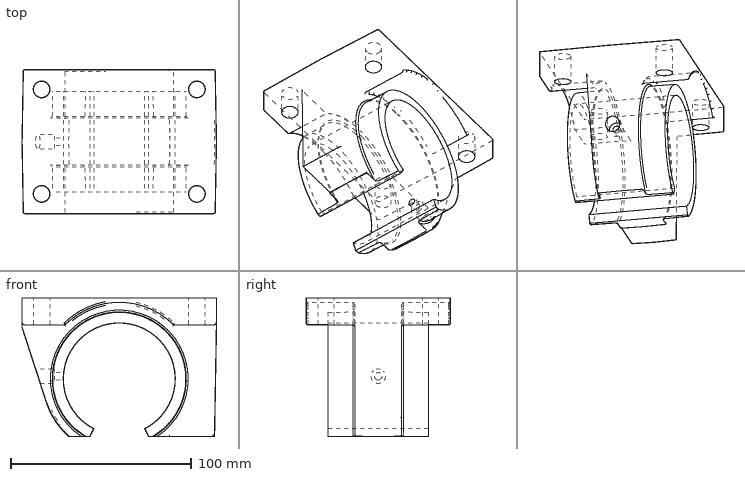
import cadquery as cq
import math

length = 108.0
width = 80.0
height = 77.0
plate_thickness = 15.0
draft_angle = 1.0
edge_radius = 1.0

screw_hole_diameter = 9.1
screw_spacing_x = 86.2
screw_spacing_y = 58.0

axis_depth = 45.0
bore_radius = 31.0
tube_radius = 37.5
tube_length = 55.8
opening_half_angle = 27.0

web_radius = 42.5
web_thickness = 26.0
slope_start_depth = 16.4

cross_hole_depth = 43.5
cross_hole_diameter = 4.1
counterbore_diameter = 8.1
counterbore_floor_x = -36.0

half_length = length / 2
half_width = width / 2
half_web = web_thickness / 2
axis_z = -axis_depth
draft_slope = math.tan(math.radians(draft_angle))


def both_sides(half_body):
    """Join a body on one side of Y = 0 with its mirror image."""
    return half_body.union(half_body.mirror("XZ"))


def disc(radius, thickness, taper=0):
    """Round body on the tube axis, growing from Y = 0 towards +Y."""
    plane = cq.Plane(origin=(0, 0, axis_z), xDir=(1, 0, 0), normal=(0, 1, 0))
    return cq.Workplane(plane).circle(radius).extrude(thickness, taper=taper)


def make_plate():
    """Plate whose short sides draw in from the middle to the corners."""
    corner_x = half_length - draft_slope * half_width
    half_plate = (
        cq.Workplane("XY")
        .moveTo(-half_length, 0)
        .lineTo(half_length, 0)
        .lineTo(corner_x, half_width)
        .lineTo(-corner_x, half_width)
        .close()
        .extrude(-plate_thickness)
    )
    return both_sides(half_plate)


def make_web():
    """Web with a slope tangent to its round on -X and a square block on +X."""
    inside_plate_z = -plate_thickness / 2
    slope_start_z = -slope_start_depth
    start_height = slope_start_z - axis_z
    start_distance = math.hypot(half_length, start_height)
    start_angle = math.pi - math.atan2(start_height, half_length)
    tangent_angle = start_angle + math.acos(web_radius / start_distance)
    tangent_x = web_radius * math.cos(tangent_angle)
    tangent_z = axis_z + web_radius * math.sin(tangent_angle)
    half_round = (
        cq.Workplane("XZ")
        .moveTo(-half_length, inside_plate_z)
        .lineTo(-half_length, slope_start_z)
        .lineTo(tangent_x, tangent_z)
        .threePointArc((0, axis_z - web_radius), (web_radius, axis_z))
        .lineTo(web_radius, inside_plate_z)
        .close()
        .extrude(half_web, taper=draft_angle)
    )

    block_bottom_x = half_length - draft_slope * (height - slope_start_depth)
    half_block = (
        cq.Workplane("XZ")
        .moveTo(0, inside_plate_z)
        .lineTo(half_length, inside_plate_z)
        .lineTo(half_length, slope_start_z)
        .lineTo(block_bottom_x, -height)
        .lineTo(0, -height)
        .close()
        .extrude(half_web, taper=draft_angle)
    )
    return both_sides(half_round.union(half_block))


def is_outer_edge(edge):
    """True for plate edges below the top and for the outline of the web faces."""
    tolerance = 0.1
    center = edge.Center()
    below_top = center.z < -tolerance
    off_middle = abs(center.y) > half_web - tolerance
    beside_web = abs(center.y) < half_web + edge_radius + tolerance
    under_plate = center.z > -plate_thickness - edge_radius - tolerance
    borders_inner_fillet = beside_web and under_plate and abs(center.x) < tolerance
    return below_top and off_middle and not borders_inner_fillet


def round_edges(body):
    """Fillet the plate-to-web corners, then round the outer edges."""
    for side in (-1, 1):
        inner_corner = cq.selectors.NearestToPointSelector((0, side * half_web, -plate_thickness))
        body = body.edges(inner_corner).fillet(edge_radius)
    outer_edges = [edge for edge in body.edges().vals() if is_outer_edge(edge)]
    return body.newObject(outer_edges).fillet(edge_radius)


def make_recess():
    """Round recess in the plate, from the +Y web face out through a flared rim."""
    mid_offset = edge_radius * (1 - math.sqrt(0.5))
    root_y = half_web + edge_radius
    rim_y = half_width - edge_radius
    rim_radius = web_radius + edge_radius
    return (
        cq.Workplane("XY", origin=(0, 0, axis_z))
        .moveTo(0, half_web)
        .lineTo(web_radius - edge_radius, half_web)
        .threePointArc((web_radius - mid_offset, half_web + mid_offset), (web_radius, root_y))
        .lineTo(web_radius, rim_y)
        .threePointArc((web_radius + mid_offset, half_width - mid_offset), (rim_radius, half_width))
        .lineTo(0, half_width)
        .close()
        .revolve(360, (0, 0), (0, 1))
    )


def add_tube(body):
    """Add the drafted tube and fillet it against both web faces."""
    body = body.union(both_sides(disc(tube_radius, tube_length / 2, taper=draft_angle)))
    for side in (-1, 1):
        tube_root = cq.selectors.NearestToPointSelector((0, side * half_web, axis_z))
        body = body.edges(tube_root).fillet(edge_radius)
    return body


def make_opening():
    """Bore with its downward opening, and the flat below the part."""
    bore = both_sides(disc(bore_radius, width))
    wedge_depth = 2 * web_radius
    wedge_half_width = wedge_depth * math.tan(math.radians(opening_half_angle))
    wedge = (
        cq.Workplane("XZ", origin=(0, 0, axis_z))
        .moveTo(0, 0)
        .lineTo(-wedge_half_width, -wedge_depth)
        .lineTo(wedge_half_width, -wedge_depth)
        .close()
        .extrude(half_width, both=True)
    )
    flat = cq.Workplane("XY", origin=(0, 0, -height)).rect(length, width).extrude(-web_radius)
    return bore.union(wedge).union(flat)


def make_cross_hole():
    """Stepped hole along X from outside the slope into the bore."""
    start = cq.Workplane("YZ", origin=(-half_length, 0, -cross_hole_depth))
    hole = start.circle(cross_hole_diameter / 2).extrude(half_length)
    counterbore = start.circle(counterbore_diameter / 2).extrude(half_length + counterbore_floor_x)
    return hole.union(counterbore)


def make_screw_holes():
    """Four plain holes through the plate."""
    return (
        cq.Workplane("XY")
        .rect(screw_spacing_x, screw_spacing_y, forConstruction=True)
        .vertices()
        .circle(screw_hole_diameter / 2)
        .extrude(-plate_thickness)
    )


recess = make_recess()
clip = round_edges(make_plate().union(make_web()))
clip = clip.cut(recess).cut(recess.mirror("XZ"))
clip = add_tube(clip)
clip = clip.cut(make_opening()).cut(make_cross_hole())
result = clip.cut(make_screw_holes()).solids()